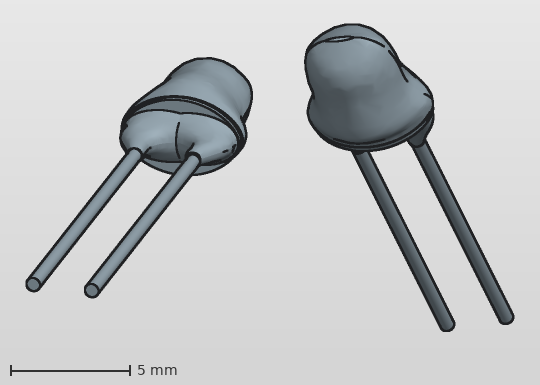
import cadquery as cq

total_length = 24.0
lead_diameter = 0.6
lead_pitch = 2.55
lead_length = 15.53

collar_front = 18.0
collar_thickness = 0.3
collar_back = collar_front + collar_thickness
collar_half_width = 2.57
collar_half_height = 1.68

lens_shape = (0.52, 0.38)
round_shape = (0.66, 0.58)

bulb_sections = [
    (collar_back, 2.65, 0.05, 1.73, -1.65),
    (19.08, 2.57, 0.05, 1.95, -1.92),
    (19.92, 2.15, 0.05, 2.06, -2.14),
    (20.7, 2.0, 0.1, 2.02, -1.87),
    (21.65, 1.97, 0.2, 2.0, -1.5),
    (22.68, 1.8, 0.3, 1.82, -1.25),
    (23.42, 1.5, 0.34, 1.13, -0.65),
    (23.83, 1.03, 0.38, 0.65, 0.05),
    (total_length, 0.6, 0.38, 0.48, 0.3),
]

leg_tip_radius = 0.3
leg_sections = [
    (lead_length, lead_pitch / 2 - leg_tip_radius, lead_pitch / 2 + leg_tip_radius, leg_tip_radius),
    (16.5, 0.9, 2.05, 0.48),
    (17.0, 0.62, 2.3, 0.58),
    (17.38, 0.0, 2.42, 0.72),
    (collar_front, -1.2, 2.52, 1.15),
]
right_tip_lift = 0.07


def half_outline(y, center_x, half_width, tip_z, crown_z, shape, direction):
    """Bezier curve from one side tip over the crown to the other tip, upright at both tips."""
    tip_rise_share, crown_reach_share = shape
    height = crown_z - tip_z
    rise_z = tip_z + tip_rise_share * height
    control_z = tip_z + (32 - 10 * tip_rise_share) / 20 * height
    reach = crown_reach_share * half_width
    controls = [
        (half_width, tip_z),
        (half_width, rise_z),
        (reach, control_z),
        (-reach, control_z),
        (-half_width, rise_z),
        (-half_width, tip_z),
    ]
    return cq.Edge.makeBezier([cq.Vector(center_x + direction * x, y, z) for x, z in controls])


def section_wire(y, center_x, half_width, tip_z, top_z, bottom_z, shape):
    """Closed outline across the Y axis, made of an upper and a lower half."""
    upper = half_outline(y, center_x, half_width, tip_z, top_z, shape, 1)
    lower = half_outline(y, center_x, half_width, tip_z, bottom_z, shape, -1)
    return cq.Wire.assembleEdges([upper, lower])


def lens_wire(y, half_width, tip_z, top_z, bottom_z):
    """Lens section centred on the middle plane."""
    return section_wire(y, 0, half_width, tip_z, top_z, bottom_z, lens_shape)


def make_bulb():
    return cq.Solid.makeLoft([lens_wire(*section) for section in bulb_sections])


def make_collar():
    outline = lens_wire(collar_front, collar_half_width, 0, collar_half_height, -collar_half_height)
    return cq.Solid.extrudeLinear(outline, [], cq.Vector(0, collar_thickness, 0))


def make_leg(side, tip_lift):
    """One tapering boot leg on the given side (-1 left, +1 right), its tip raised by tip_lift."""
    wires = []
    for y, inner, outer, half_height in leg_sections:
        lift = tip_lift * (collar_front - y) / (collar_front - lead_length)
        center_x = side * (inner + outer) / 2
        half_width = (outer - inner) / 2
        top_z = lift + half_height
        bottom_z = lift - half_height
        wires.append(section_wire(y, center_x, half_width, lift, top_z, bottom_z, round_shape))
    return cq.Solid.makeLoft(wires)


def make_boot():
    left_leg = cq.Workplane(make_leg(-1, 0))
    right_leg = cq.Workplane(make_leg(1, right_tip_lift))
    return left_leg.union(right_leg).solids()


def make_lead(side):
    start = cq.Vector(side * lead_pitch / 2, 0, 0)
    return cq.Solid.makeCylinder(lead_diameter / 2, lead_length, start, cq.Vector(0, 1, 0))


bulb = make_bulb()
collar = make_collar()
boot = make_boot()
leads = [make_lead(side) for side in (-1, 1)]

result = cq.Compound.makeCompound([bulb, collar, boot.val(), *leads])